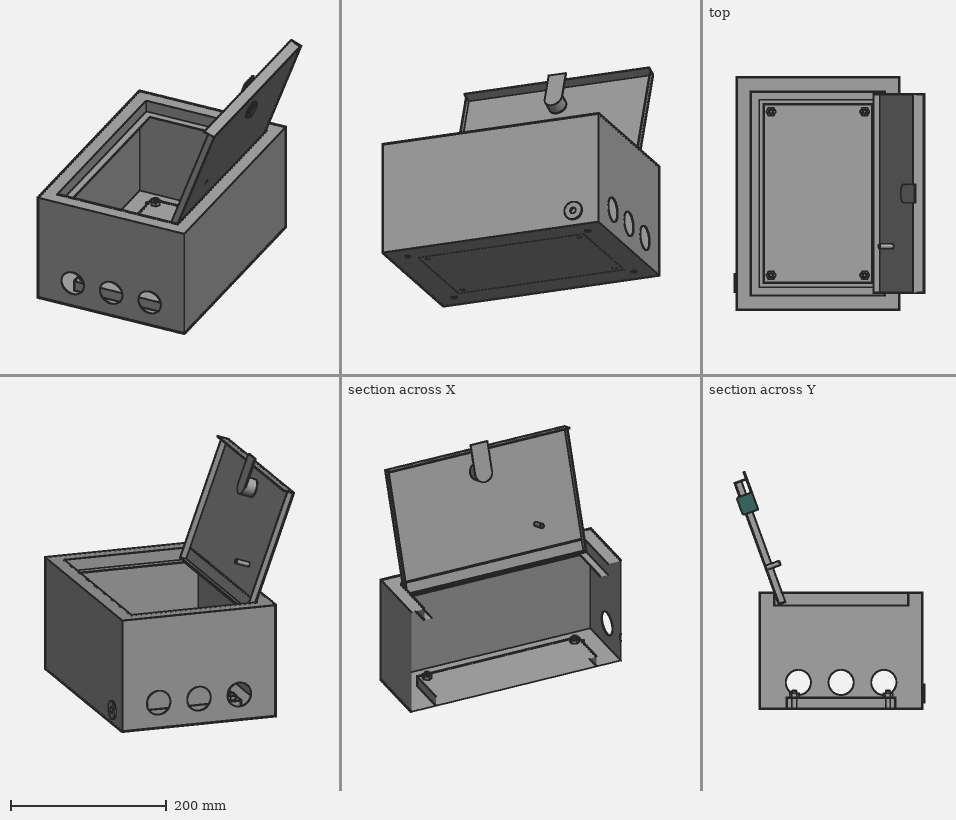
import cadquery as cq
import math

overall_z = 305.0

box_x = 210.0
box_y = 300.0
box_z = 150.0
wall = 1.2
rim_width = 19.5
recess_depth = 16.2
ledge_width = 10.0
ledge_inset = rim_width + ledge_width

cable_hole_d = 32.0
cable_hole_pitch = 55.0
cable_hole_z = 34.5

floor_hole_d = 7.3
floor_hole_inset = 25.3

boss_d = 23.8
boss_height = 2.5
boss_hole_d = 8.0
boss_y = 34.8
boss_z = 20.0

plate_inset = 34.8
plate_top_z = 15.5

stud_d = 6.0
stud_top_z = 24.0
tip_chamfer = 1.0
stud_inset = 45.0
nut_flats = 10.7
nut_height = 5.0

door_y = 256.3
door_length = 166.5
door_tilt = 20.0
door_foot_x = 185.2
door_foot_z = 134.3
fold_depth = 9.5
free_fold_depth = 15.5

pin_d = 6.0
pin_tip_depth = 20.0
pin_from_foot = 50.0
pin_y = 82.0

lock_from_free_edge = 30.8
lock_d = 23.8
knob_height = 4.0
knob_chamfer = 1.8
cam_thickness = 1.8

centre_x = box_x / 2
centre_y = box_y / 2


def block(x0, x1, y0, y1, z0, z1):
    """Box between two opposite corners."""
    return cq.Workplane("XY").box(x1 - x0, y1 - y0, z1 - z0, centered=False).translate((x0, y0, z0))


def inset_block(inset, z0, z1):
    """Box inside the housing outline, the same distance from all four sides."""
    return block(inset, box_x - inset, inset, box_y - inset, z0, z1)


def corner_points(inset):
    """Four points inside the housing outline, each `inset` from two sides."""
    return [(x, y) for x in (inset, box_x - inset) for y in (inset, box_y - inset)]


def upright_rods(points, diameter, z0, z1):
    """Vertical cylinders standing on the given points."""
    return cq.Workplane("XY", origin=(0, 0, z0)).pushPoints(points).circle(diameter / 2).extrude(z1 - z0)


def depth_rod(diameter, y, z, depth0, depth1):
    """Cylinder square to the upright door; depth is measured inwards from the outer face."""
    return (
        cq.Workplane("YZ", origin=(-depth0, y, z))
        .circle(diameter / 2)
        .extrude(depth0 - depth1)
    )


def swing_open(body):
    """Tilt a body drawn on the upright door and move it to the door's foot."""
    return body.rotate((0, 0, 0), (0, 1, 0), door_tilt).translate((door_foot_x, centre_y, door_foot_z))


def make_housing():
    ledge_z = box_z - recess_depth
    shell = block(0, box_x, 0, box_y, 0, box_z).cut(inset_block(wall, wall, box_z - wall))
    recess = inset_block(rim_width - wall, ledge_z - wall, box_z)
    opening = inset_block(rim_width, ledge_z, box_z).union(inset_block(ledge_inset, ledge_z - wall, ledge_z))
    housing = shell.union(recess).cut(opening)

    cable_points = [(centre_x + step * cable_hole_pitch, cable_hole_z) for step in (-1, 0, 1)]
    cable_holes = cq.Workplane("XZ").pushPoints(cable_points).circle(cable_hole_d / 2).extrude(-wall)
    floor_holes = upright_rods(corner_points(floor_hole_inset), floor_hole_d, 0, wall)

    boss_axis = cq.Workplane("YZ", origin=(-boss_height, boss_y, boss_z))
    boss = boss_axis.circle(boss_d / 2).extrude(boss_height)
    boss_hole = boss_axis.circle(boss_hole_d / 2).extrude(boss_height + wall)
    return housing.union(boss).cut(cable_holes).cut(floor_holes).cut(boss_hole)


def make_mounting_plate():
    tray = inset_block(plate_inset, wall, plate_top_z)
    hollow = inset_block(plate_inset + wall, wall, plate_top_z - wall)
    stud_holes = upright_rods(corner_points(stud_inset), stud_d, wall, plate_top_z)
    return tray.cut(hollow).cut(stud_holes)


def make_fastener(x, y):
    stud = upright_rods([(x, y)], stud_d, wall, stud_top_z).faces(">Z").chamfer(tip_chamfer)
    nut_corners = nut_flats / math.cos(math.radians(30))
    nut = cq.Workplane("XY", origin=(x, y, plate_top_z)).polygon(6, nut_corners).extrude(nut_height)
    return stud.union(nut)


def make_door():
    half_y = door_y / 2
    pan = block(-fold_depth, 0, -half_y, half_y, 0, door_length)
    hollow = block(-fold_depth, -wall, wall - half_y, half_y - wall, wall, door_length - wall)
    free_fold = block(-free_fold_depth, 0, -half_y, half_y, door_length - wall, door_length)
    pin = depth_rod(pin_d, pin_y - centre_y, pin_from_foot, wall, pin_tip_depth)
    pin = pin.faces("<X").chamfer(tip_chamfer)
    barrel_hole = depth_rod(lock_d, 0, door_length - lock_from_free_edge, 0, wall)
    return swing_open(pan.cut(hollow).union(free_fold).union(pin).cut(barrel_hole))


def make_lock():
    axis_z = door_length - lock_from_free_edge
    cam_depth = free_fold_depth + cam_thickness
    tilt = math.radians(door_tilt)
    cam_top = (overall_z - door_foot_z - cam_depth * math.sin(tilt)) / math.cos(tilt)
    barrel = depth_rod(lock_d, 0, axis_z, -knob_height, cam_depth).faces(">X").chamfer(knob_chamfer)
    cam = block(-cam_depth, -free_fold_depth, -lock_d / 2, lock_d / 2, axis_z, cam_top)
    return swing_open(barrel.union(cam))


door = make_door()
lock = make_lock()
housing = make_housing().cut(door)
mounting_plate = make_mounting_plate()
fasteners = [make_fastener(x, y) for x, y in corner_points(stud_inset)]

result = cq.Compound.makeCompound(
    [
        housing.val(),
        mounting_plate.val(),
        *[fastener.val() for fastener in fasteners],
        door.val(),
        lock.val(),
    ]
)